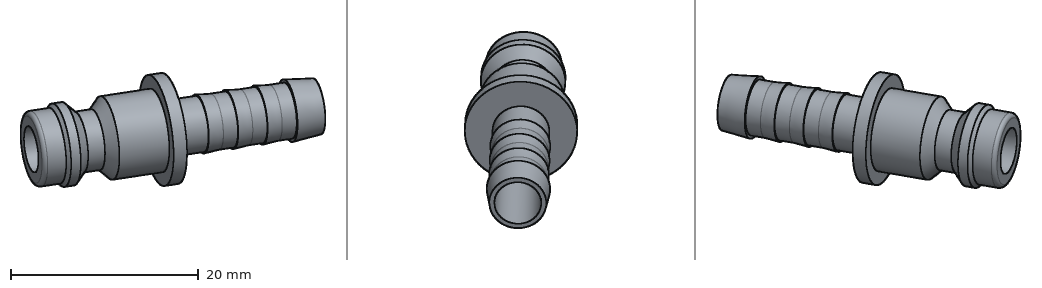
import cadquery as cq

length = 32.0
flange_radius = 6.0
body_radius = 4.5
nose_radius = 4.1
neck_radius = 3.3
bore_radius = 2.5
stem_radius = 3.05
barb_radius = 3.2
end_barb_radius = 3.4

nose_length = 2.6
collar_start = nose_length + body_radius - nose_radius
collar_end = 4.1
cone_length = body_radius - neck_radius
neck_start = collar_end + cone_length
neck_end = 7.2
body_start = neck_end + cone_length
flange_start = 14.0
flange_thickness = 1.5
flange_end = flange_start + flange_thickness
nose_round = 0.48

barb_count = 3
barb_length = 1.648
barb_pitch = 2 * barb_length
first_barb = 18.88
end_barb_start = first_barb + barb_count * barb_pitch


def outer_profile():
    """Radius and axial distance of each corner of the half section."""
    points = [
        (bore_radius, 0),
        (nose_radius, 0),
        (nose_radius, nose_length),
        (body_radius, collar_start),
        (body_radius, collar_end),
        (neck_radius, neck_start),
        (neck_radius, neck_end),
        (body_radius, body_start),
        (body_radius, flange_start),
        (flange_radius, flange_start),
        (flange_radius, flange_end),
        (stem_radius, flange_end),
    ]
    for index in range(barb_count):
        step = first_barb + index * barb_pitch
        points += [
            (stem_radius, step),
            (barb_radius, step),
            (stem_radius, step + barb_length),
        ]
    points += [
        (stem_radius, end_barb_start),
        (end_barb_radius, end_barb_start),
        (stem_radius, length),
        (bore_radius, length),
    ]
    return points


plug = cq.Workplane("XY").polyline(outer_profile()).close().revolve(360, (0, 0), (0, 1))

result = plug.faces("<Y").edges(cq.selectors.RadiusNthSelector(-1)).fillet(nose_round)